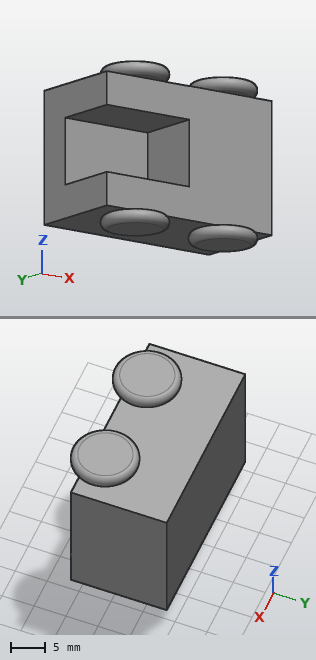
import cadquery as cq

body_length = 30.0
body_width = 15.0
body_height = 20.0

pocket_length = body_length / 2
pocket_depth = 10.0
pocket_height = body_height / 2

wheel_radius = 5.0
wheel_thickness = 2.0
rim_radius = wheel_thickness / 2
flat_radius = wheel_radius - rim_radius
wheel_spacing = 16.0
wheel_inset = 2.5

left_face = -body_length / 2
front_face = -body_width / 2
top_face = body_height / 2
bottom_face = -body_height / 2
wheel_y = front_face + wheel_inset


def make_body():
    block = cq.Workplane("XY").box(body_length, body_width, body_height)
    pocket = (
        cq.Workplane("XY")
        .box(pocket_length, pocket_depth, pocket_height, centered=(False, False, True))
        .translate((left_face, front_face, 0))
    )
    return block.cut(pocket)


def make_wheel(x, y, base_z):
    """Revolve the half section of a wheel about its vertical axis."""
    return (
        cq.Workplane("XZ")
        .lineTo(flat_radius, 0)
        .threePointArc((wheel_radius, rim_radius), (flat_radius, wheel_thickness))
        .lineTo(0, wheel_thickness)
        .close()
        .revolve(360, (0, 0), (0, 1))
        .translate((x, y, base_z))
    )


body = make_body()

wheels = []
for wheel_x in (-wheel_spacing / 2, wheel_spacing / 2):
    for wheel_base in (top_face, bottom_face - wheel_thickness):
        wheels.append(make_wheel(wheel_x, wheel_y, wheel_base).val())

result = cq.Compound.makeCompound([body.val(), *wheels])